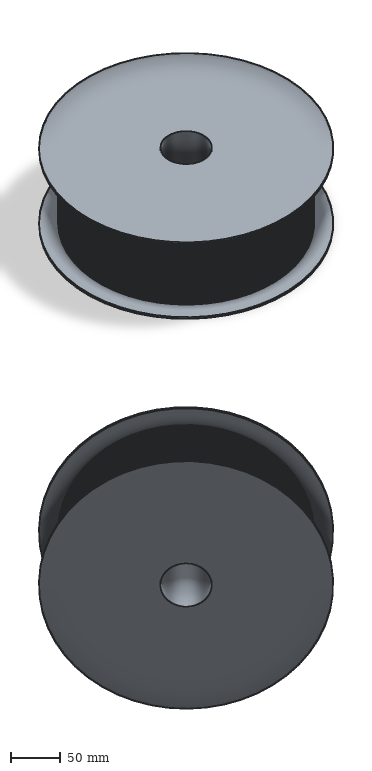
import cadquery as cq
import math

flange_diameter = 298.45
bore_diameter = 52.07
overall_height = 101.6
flange_thickness = 2.54

filament_diameter = 1.75
turn_count = 55
flange_overhang = 20.0
sunk_depth = 0.19

flange_radius = flange_diameter / 2
bore_radius = bore_diameter / 2
filament_radius = filament_diameter / 2
groove_radius = flange_radius - flange_overhang
crest_radius = groove_radius + filament_radius
bottom_flange_top = flange_thickness
top_flange_underside = overall_height - flange_thickness
first_turn_bottom = bottom_flange_top - sunk_depth


def add_turn(profile, turn):
    """Add the half-round outline of one turn, counted from the bottom."""
    bottom_z = first_turn_bottom + turn * filament_diameter
    crest = (crest_radius, bottom_z + filament_radius)
    top = (groove_radius, bottom_z + filament_diameter)
    return profile.threePointArc(crest, top)


def spool_profile():
    """Half section in the XZ plane: bottom flange, winding, top flange, bore."""
    drop_below_centre = filament_radius - sunk_depth
    exit_radius = groove_radius + math.sqrt(filament_radius**2 - drop_below_centre**2)

    profile = (
        cq.Workplane("XZ")
        .moveTo(bore_radius, 0)
        .lineTo(flange_radius, 0)
        .lineTo(flange_radius, bottom_flange_top)
        .lineTo(exit_radius, bottom_flange_top)
    )
    for turn in range(turn_count):
        profile = add_turn(profile, turn)
    return (
        profile
        .lineTo(groove_radius, top_flange_underside)
        .lineTo(flange_radius, top_flange_underside)
        .lineTo(flange_radius, overall_height)
        .lineTo(bore_radius, overall_height)
        .close()
    )


result = spool_profile().revolve(360, (0, 0, 0), (0, 1, 0))